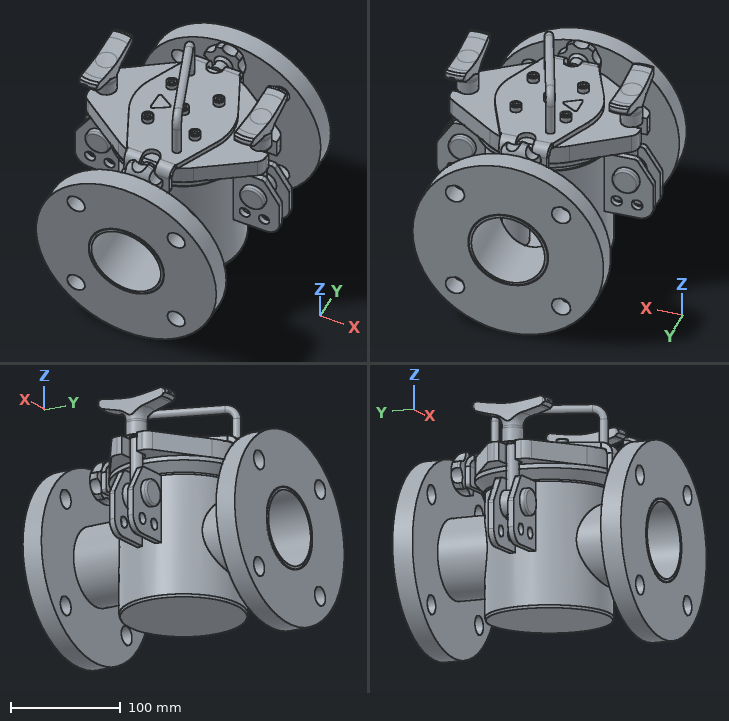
import cadquery as cq
import math


LENGTH = 230.0
FLANGE_DIA = 184.5
FLANGE_THICK = 20.2
BOLT_HOLE_DIA = 18.0
BOLT_CIRCLE_DIA = 145.0
PIPE_DIA = 76.1
BORE_DIA = 70.8
WELD_GROOVE_WIDTH = 0.5
WELD_GROOVE_DEPTH = 1.2

WALL = (PIPE_DIA - BORE_DIA) / 2
VESSEL_RADIUS = 58.9
VESSEL_BOTTOM_Z = -64.6
BOTTOM_CHAMFER_HEIGHT = 2.5
BOTTOM_CHAMFER_WIDTH = 1.0
LIP_RADIUS = 59.5
LIP_BOTTOM_Z = 53.0
LIP_TOP_Z = 54.5
RIM_RADIUS = 68.0
RIM_BOTTOM_Z = 63.5
RIM_TOP_Z = 67.8

BOLT_X = 79.1
PIN_Z = 29.7
LUG_SPAN = 209.0
LUG_END_X = LUG_SPAN / 2
LUG_GAP = 14.3
LUG_THICK = 5.8
LUG_TOP_Z = 53.1
LUG_BOTTOM_Z = -11.7
LUG_SLOPE_TOP_X = 88.5
LUG_SLOPE_BOTTOM_Z = 28.3
LUG_TOP_ROUND = 4.5
LUG_BOTTOM_ROUND = 14.3
LUG_HOLE_DIA = 10.5
LUG_HOLE_Z = 2.8
LUG_HOLE_OFFSET = 10.0

LID_THICK = 18.0
LID_TOP_Z = RIM_TOP_Z + LID_THICK
LID_RADIUS = 67.6
LID_END_X = 91.3
LID_END_HALF_WIDTH = 19.0
LID_END_ROUND = 10.5
LID_SLOT_WIDTH = 16.3
LID_EDGE_CHAMFER = 3.0

PLATE_THICK = 5.3
PLATE_TOP_Z = LID_TOP_Z + PLATE_THICK
PLATE_RADIUS = 50.0
BEND_Y = 63.7
BEND_RADIUS = 10.4
TAB_OUTER_Y = BEND_Y + BEND_RADIUS
TAB_BEND_HALF_WIDTH = 25.5
TAB_BASE_HALF_WIDTH = 24.5
TAB_EDGE_HALF_WIDTH = 23.2
TAB_BOTTOM_Z = 62.0
TAB_CORNER_ROUND = 2.5
TAB_SLOT_WIDTH = 16.5
ARROW_TIP_X = -11.5
ARROW_BASE_X = -29.5
ARROW_HALF_WIDTH = 10.5
ARROW_ROUND = 1.8
ARROW_DEPTH = 0.12

ROD_DIA = 25.0
ROD_OFFSET = 24.2
ROD_BOTTOM_Z = -55.2
SCREW_DIA = 10.5
SCREW_HEIGHT = 6.0
SCREW_CHAMFER = 0.7
SCREW_SOCKET_DIA = 6.2
SCREW_SOCKET_DEPTH = 3.0

HANDLE_DIA = 8.3
HANDLE_TOP_Z = 136.0
HANDLE_HALF_SPAN = 49.7
HANDLE_BEND_RADIUS = 10.4
HANDLE_ANGLE = 20.0

BOLT_DIA = 11.7
BOLT_COLLAR_DIA = 12.0
BOLT_COLLAR_Z = 84.2
BOLT_BOTTOM_Z = 15.5
EYE_DIA = 25.0
PIN_DIA = 12.0
PIN_HEAD_DIA = 25.3
PIN_HALF_LENGTH = 18.6
PIN_HEAD_ROUND = 1.8
GRIP_BOSS_RADIUS = 10.1
GRIP_BOSS_TOP_Z = 99.0
GRIP_NECK = (10.0, 100.7)
GRIP_FLARE_MID = (11.3, 106.7)
GRIP_FLARE = (15.9, 111.0)
GRIP_WING_END = [(32.0, 116.0), (34.5, 116.8), (37.5, 120.0), (37.5, 122.0), (36.5, 124.7), (33.4, 125.5)]
GRIP_TOP_BREAK = (26.5, 124.2)
GRIP_DISH_EDGE = (10.0, 121.5)
GRIP_DISH_CENTRE_Z = 120.3
GRIP_HALF_WIDTH = 10.4
GRIP_END_HALF_WIDTH = 9.5
GRIP_CORNER_ROUND = 3.5

KNOB_Z = 79.0
KNOB_DIA = 40.2
KNOB_BASE_Y = 80.5
KNOB_OUTER_Y = 93.2
KNOB_ROUND = 9.7
KNOB_NECK_DIA = 14.0
KNOB_COLLAR_DIA = 18.9
KNOB_COLLAR_Y = 77.3
SCALLOP_COUNT = 6
SCALLOP_RADIUS = 9.2
SCALLOP_CIRCLE_RADIUS = 24.8
FRONT_KNOB_SCALLOP_ANGLE = 95.0
REAR_KNOB_SCALLOP_ANGLE = 106.0


def cylinder_z(radius, bottom, top, x=0.0, y=0.0):
    return cq.Workplane("XY").workplane(offset=bottom).center(x, y).circle(radius).extrude(top - bottom)


def cylinder_y(radius, y_start, y_end, x=0.0, z=0.0):
    """Cylinder along Y; the XZ plane's normal points to -Y."""
    plane = cq.Workplane("XZ", origin=(0, y_start, 0))
    return plane.center(x, z).circle(radius).extrude(y_start - y_end)


def turned_about_z(shape, angle):
    return shape.rotate((0, 0, 0), (0, 0, 1), angle)


def mirrored_pair(shape, plane):
    return shape.union(shape.mirror(plane))


def tangent_point(corner, radius, turn):
    """Where a line from a corner touches a circle about the origin; turn 1 is anticlockwise, -1 clockwise."""
    angle = math.atan2(corner[1], corner[0]) + turn * math.acos(radius / math.hypot(*corner))
    return radius * math.cos(angle), radius * math.sin(angle)


def pipe_flange():
    """Flange at the -Y end, with its bolt holes."""
    end = -LENGTH / 2
    flange = cylinder_y(FLANGE_DIA / 2, end, end + FLANGE_THICK)
    hole_offset = BOLT_CIRCLE_DIA / 2 * math.cos(math.pi / 4)
    for x in (-hole_offset, hole_offset):
        for z in (-hole_offset, hole_offset):
            flange = flange.cut(cylinder_y(BOLT_HOLE_DIA / 2, end, end + FLANGE_THICK, x, z))
    return flange


def weld_groove():
    """Narrow ring groove around the pipe in the -Y flange face."""
    end = -LENGTH / 2
    groove = cylinder_y(PIPE_DIA / 2 + WELD_GROOVE_WIDTH, end, end + WELD_GROOVE_DEPTH)
    return groove.cut(cylinder_y(PIPE_DIA / 2, end, end + WELD_GROOVE_DEPTH))


def vessel():
    """Round vessel with a conical rim, still solid inside."""
    outline = [
        (0, VESSEL_BOTTOM_Z),
        (VESSEL_RADIUS - BOTTOM_CHAMFER_WIDTH, VESSEL_BOTTOM_Z),
        (VESSEL_RADIUS, VESSEL_BOTTOM_Z + BOTTOM_CHAMFER_HEIGHT),
        (VESSEL_RADIUS, LIP_BOTTOM_Z),
        (LIP_RADIUS, LIP_TOP_Z),
        (RIM_RADIUS, RIM_BOTTOM_Z),
        (RIM_RADIUS, RIM_TOP_Z),
        (0, RIM_TOP_Z),
    ]
    return cq.Workplane("XZ").polyline(outline).close().revolve(360, (0, 0, 0), (0, 1, 0))


def lug_pair():
    """Two lug plates on the +X side, with pin holes and two small holes each."""
    half_width = LUG_GAP / 2 + LUG_THICK
    outline = [
        (VESSEL_RADIUS - WALL, LUG_BOTTOM_Z),
        (LUG_END_X, LUG_BOTTOM_Z),
        (LUG_END_X, LUG_SLOPE_BOTTOM_Z),
        (LUG_SLOPE_TOP_X, LUG_TOP_Z),
        (VESSEL_RADIUS - WALL, LUG_TOP_Z),
    ]
    lugs = cq.Workplane("XZ", origin=(0, half_width, 0)).polyline(outline).close().extrude(2 * half_width)
    lower_corner = cq.selectors.NearestToPointSelector((LUG_END_X, 0, LUG_BOTTOM_Z))
    lugs = lugs.edges(lower_corner).fillet(LUG_BOTTOM_ROUND)
    for corner in ((LUG_END_X, 0, LUG_SLOPE_BOTTOM_Z), (LUG_SLOPE_TOP_X, 0, LUG_TOP_Z)):
        lugs = lugs.edges(cq.selectors.NearestToPointSelector(corner)).fillet(LUG_TOP_ROUND)
    height = LUG_TOP_Z - LUG_BOTTOM_Z
    gap = cq.Workplane("XY").box(LUG_END_X, LUG_GAP, height, centered=(False, True, False))
    lugs = lugs.cut(gap.translate((VESSEL_RADIUS - WALL, 0, LUG_BOTTOM_Z)))
    lugs = lugs.cut(cylinder_y(PIN_DIA / 2, -half_width, half_width, BOLT_X, PIN_Z))
    for x in (BOLT_X - LUG_HOLE_OFFSET, BOLT_X + LUG_HOLE_OFFSET):
        lugs = lugs.cut(cylinder_y(LUG_HOLE_DIA / 2, -half_width, half_width, x, LUG_HOLE_Z))
    return lugs


def build_housing():
    body = vessel().union(cylinder_y(PIPE_DIA / 2, -LENGTH / 2, LENGTH / 2))
    body = body.union(mirrored_pair(pipe_flange(), "XZ"))
    body = body.union(mirrored_pair(lug_pair(), "YZ"))
    body = body.cut(cylinder_z(VESSEL_RADIUS - WALL, VESSEL_BOTTOM_Z + WALL, RIM_TOP_Z))
    body = body.cut(cylinder_y(BORE_DIA / 2, -LENGTH / 2, LENGTH / 2))
    return body.cut(mirrored_pair(weld_groove(), "XZ"))


def lid():
    """Round lid with a forked arm on each side."""
    cx, cy = LID_END_X, LID_END_HALF_WIDTH
    tx, ty = tangent_point((cx, cy), LID_RADIUS, 1)
    outline = (
        cq.Workplane("XY", origin=(0, 0, RIM_TOP_Z))
        .moveTo(cx, -cy)
        .lineTo(cx, cy)
        .lineTo(tx, ty)
        .threePointArc((0, LID_RADIUS), (-tx, ty))
        .lineTo(-cx, cy)
        .lineTo(-cx, -cy)
        .lineTo(-tx, -ty)
        .threePointArc((0, -LID_RADIUS), (tx, -ty))
        .close()
    )
    plate = outline.extrude(LID_THICK)
    for x in (-cx, cx):
        for y in (-cy, cy):
            corner = cq.selectors.NearestToPointSelector((x, y, RIM_TOP_Z + LID_THICK / 2))
            plate = plate.edges(corner).fillet(LID_END_ROUND)
    slot = cylinder_z(LID_SLOT_WIDTH / 2, RIM_TOP_Z, LID_TOP_Z, BOLT_X)
    slot_mouth = cq.Workplane("XY").box(LID_END_X, LID_SLOT_WIDTH, LID_THICK, centered=(False, True, False))
    slot = slot.union(slot_mouth.translate((BOLT_X, 0, RIM_TOP_Z)))
    return plate.cut(mirrored_pair(slot, "YZ"))


def lid_edge_chamfer():
    """Wedge that bevels the +Y top edge of the lid under the tab slot."""
    wedge = [
        (LID_RADIUS - LID_EDGE_CHAMFER, LID_TOP_Z),
        (LID_RADIUS, LID_TOP_Z),
        (LID_RADIUS, LID_TOP_Z - LID_EDGE_CHAMFER),
    ]
    start = (-TAB_SLOT_WIDTH / 2, 0, 0)
    return cq.Workplane("YZ", origin=start).polyline(wedge).close().extrude(TAB_SLOT_WIDTH)


def flat_plate():
    """Round plate whose sides run as tangent lines to the corners of the two tabs."""
    cx, cy = TAB_BEND_HALF_WIDTH, BEND_Y
    tx, ty = tangent_point((cx, cy), PLATE_RADIUS, -1)
    return (
        cq.Workplane("XY", origin=(0, 0, LID_TOP_Z))
        .moveTo(-cx, cy)
        .lineTo(cx, cy)
        .lineTo(tx, ty)
        .threePointArc((PLATE_RADIUS, 0), (tx, -ty))
        .lineTo(cx, -cy)
        .lineTo(-cx, -cy)
        .lineTo(-tx, -ty)
        .threePointArc((-PLATE_RADIUS, 0), (-tx, ty))
        .close()
        .extrude(PLATE_THICK)
    )


def tab_bend():
    """Quarter bend at the +Y edge of the plate, narrowing slightly outwards."""
    bend_z = PLATE_TOP_Z - BEND_RADIUS
    inner_radius = BEND_RADIUS - PLATE_THICK
    ring = (
        cq.Workplane("YZ", origin=(-TAB_BEND_HALF_WIDTH, BEND_Y, bend_z))
        .circle(BEND_RADIUS)
        .circle(inner_radius)
        .extrude(2 * TAB_BEND_HALF_WIDTH)
    )
    plan = [
        (-TAB_BASE_HALF_WIDTH, BEND_Y),
        (TAB_BASE_HALF_WIDTH, BEND_Y),
        (TAB_EDGE_HALF_WIDTH, TAB_OUTER_Y),
        (-TAB_EDGE_HALF_WIDTH, TAB_OUTER_Y),
    ]
    quarter = cq.Workplane("XY", origin=(0, 0, bend_z)).polyline(plan).close().extrude(BEND_RADIUS)
    return ring.intersect(quarter)


def bent_tab():
    """Tab at the +Y edge: the bend and a straight leg with rounded lower corners."""
    height = PLATE_TOP_Z - BEND_RADIUS - TAB_BOTTOM_Z
    leg = cq.Workplane("XY").box(2 * TAB_EDGE_HALF_WIDTH, PLATE_THICK, height, centered=(True, False, False))
    leg = leg.edges("|Y and <Z").fillet(TAB_CORNER_ROUND)
    return tab_bend().union(leg.translate((0, TAB_OUTER_Y - PLATE_THICK, TAB_BOTTOM_Z)))


def tab_slot():
    """Round-ended slot in the +Y bend: open upwards around the knob neck, round into the plate."""
    radius = TAB_SLOT_WIDTH / 2
    length = TAB_OUTER_Y - BEND_Y
    slot = cylinder_z(radius, LID_TOP_Z, PLATE_TOP_Z, 0, BEND_Y)
    height = PLATE_TOP_Z - KNOB_Z
    upper = cq.Workplane("XY").box(TAB_SLOT_WIDTH, length, height, centered=(True, False, False))
    slot = slot.union(upper.translate((0, BEND_Y, KNOB_Z)))
    return slot.union(cylinder_y(radius, BEND_Y, TAB_OUTER_Y, 0, KNOB_Z))


def arrow_mark():
    """Shallow triangular mark in the plate, pointing to +X."""
    corners = [
        (ARROW_TIP_X, 0),
        (ARROW_BASE_X, ARROW_HALF_WIDTH),
        (ARROW_BASE_X, -ARROW_HALF_WIDTH),
    ]
    floor = cq.Workplane("XY", origin=(0, 0, PLATE_TOP_Z - ARROW_DEPTH))
    return floor.polyline(corners).close().extrude(ARROW_DEPTH).edges("|Z").fillet(ARROW_ROUND)


def screw_head(x, y):
    head = cylinder_z(SCREW_DIA / 2, PLATE_TOP_Z, PLATE_TOP_Z + SCREW_HEIGHT)
    head = head.faces(">Z").chamfer(SCREW_CHAMFER)
    head = head.faces(">Z").workplane().polygon(6, SCREW_SOCKET_DIA).cutBlind(-SCREW_SOCKET_DEPTH)
    return head.translate((x, y, 0))


def lifting_handle():
    """Bent round bar, its legs standing on the plate."""
    span = HANDLE_HALF_SPAN
    bar_z = HANDLE_TOP_Z - HANDLE_DIA / 2
    bend_z = bar_z - HANDLE_BEND_RADIUS
    bend_y = span - HANDLE_BEND_RADIUS
    corner = HANDLE_BEND_RADIUS * math.cos(math.pi / 4)
    path = (
        cq.Workplane("YZ")
        .moveTo(-span, PLATE_TOP_Z)
        .lineTo(-span, bend_z)
        .threePointArc((-bend_y - corner, bend_z + corner), (-bend_y, bar_z))
        .lineTo(bend_y, bar_z)
        .threePointArc((bend_y + corner, bend_z + corner), (span, bend_z))
        .lineTo(span, PLATE_TOP_Z)
    )
    foot = cq.Workplane("XY", origin=(0, -span, PLATE_TOP_Z)).circle(HANDLE_DIA / 2)
    return turned_about_z(foot.sweep(path), HANDLE_ANGLE)


def build_cover():
    cover = lid().cut(mirrored_pair(lid_edge_chamfer(), "XZ"))
    plate = flat_plate().union(mirrored_pair(bent_tab(), "XZ"))
    plate = plate.cut(mirrored_pair(tab_slot(), "XZ")).cut(arrow_mark())
    cover = cover.union(plate).union(lifting_handle())
    rod_places = [(0, 0)] + [(x, y) for x in (-ROD_OFFSET, ROD_OFFSET) for y in (-ROD_OFFSET, ROD_OFFSET)]
    for x, y in rod_places:
        cover = cover.union(cylinder_z(ROD_DIA / 2, ROD_BOTTOM_Z, RIM_TOP_Z, x, y))
        cover = cover.union(screw_head(x, y))
    return cover


def wing_grip():
    """T-shaped grip: a turned, winged profile trimmed to a slightly barrel-shaped bar."""
    turned = (
        cq.Workplane("XZ")
        .moveTo(0, LID_TOP_Z)
        .lineTo(GRIP_BOSS_RADIUS, LID_TOP_Z)
        .lineTo(GRIP_BOSS_RADIUS, GRIP_BOSS_TOP_Z)
        .lineTo(*GRIP_NECK)
        .threePointArc(GRIP_FLARE_MID, GRIP_FLARE)
        .polyline(GRIP_WING_END, includeCurrent=True)
        .lineTo(*GRIP_TOP_BREAK)
        .lineTo(*GRIP_DISH_EDGE)
        .lineTo(0, GRIP_DISH_CENTRE_Z)
        .close()
        .revolve(360, (0, 0, 0), (0, 1, 0))
    )
    tip = max(radius for radius, z in GRIP_WING_END)
    top_z = max(z for radius, z in GRIP_WING_END)
    bar = (
        cq.Workplane("XY", origin=(0, 0, LID_TOP_Z))
        .moveTo(GRIP_END_HALF_WIDTH, -tip)
        .threePointArc((GRIP_HALF_WIDTH, 0), (GRIP_END_HALF_WIDTH, tip))
        .lineTo(-GRIP_END_HALF_WIDTH, tip)
        .threePointArc((-GRIP_HALF_WIDTH, 0), (-GRIP_END_HALF_WIDTH, -tip))
        .close()
        .extrude(top_z - LID_TOP_Z)
        .edges("|Z")
        .fillet(GRIP_CORNER_ROUND)
    )
    return turned.intersect(bar)


def build_swing_bolt(side_angle):
    """Swing bolt with grip, shank, eye and headed pin, turned about Z from the +X side."""
    eye = cylinder_y(EYE_DIA / 2, -LUG_GAP / 2, LUG_GAP / 2, 0, PIN_Z)
    shank = cylinder_z(BOLT_DIA / 2, BOLT_BOTTOM_Z, BOLT_COLLAR_Z)
    shank = shank.union(cylinder_z(BOLT_COLLAR_DIA / 2, BOLT_COLLAR_Z, LID_TOP_Z))
    lug_outer = LUG_GAP / 2 + LUG_THICK
    pin = cylinder_y(PIN_DIA / 2, -lug_outer, lug_outer, 0, PIN_Z)
    head = cylinder_y(PIN_HEAD_DIA / 2, -PIN_HALF_LENGTH, -lug_outer, 0, PIN_Z)
    head = head.faces("<Y").edges().fillet(PIN_HEAD_ROUND)
    bolt = eye.union(shank).union(pin).union(mirrored_pair(head, "XZ")).union(wing_grip())
    return turned_about_z(bolt.translate((BOLT_X, 0, 0)), side_angle)


def build_star_knob(side_angle, first_angle):
    """Star knob turned about Z from the -Y side, where its first scallop lies at an angle from +X to +Z."""
    head = cylinder_y(KNOB_DIA / 2, -KNOB_OUTER_Y, -KNOB_BASE_Y)
    head = head.faces("<Y").edges().fillet(KNOB_ROUND)
    for index in range(SCALLOP_COUNT):
        angle = math.radians(first_angle + index * 360 / SCALLOP_COUNT)
        x = SCALLOP_CIRCLE_RADIUS * math.cos(angle)
        z = SCALLOP_CIRCLE_RADIUS * math.sin(angle)
        head = head.cut(cylinder_y(SCALLOP_RADIUS, -KNOB_OUTER_Y, -KNOB_BASE_Y, x, z))
    neck_profile = [
        (0, -KNOB_BASE_Y),
        (KNOB_COLLAR_DIA / 2, -KNOB_BASE_Y),
        (KNOB_NECK_DIA / 2, -KNOB_COLLAR_Y),
        (KNOB_NECK_DIA / 2, -LID_RADIUS),
        (0, -LID_RADIUS),
    ]
    neck = cq.Workplane("XY").polyline(neck_profile).close().revolve(360, (0, 0, 0), (0, 1, 0))
    return turned_about_z(head.union(neck).translate((0, 0, KNOB_Z)), side_angle)


housing = build_housing()
cover = build_cover()
swing_bolts = [build_swing_bolt(angle) for angle in (0, 180)]
star_knobs = [
    build_star_knob(0, FRONT_KNOB_SCALLOP_ANGLE),
    build_star_knob(180, REAR_KNOB_SCALLOP_ANGLE),
]

result = cq.Compound.makeCompound(
    [housing.val(), cover.val()]
    + [bolt.val() for bolt in swing_bolts]
    + [knob.val() for knob in star_knobs]
)